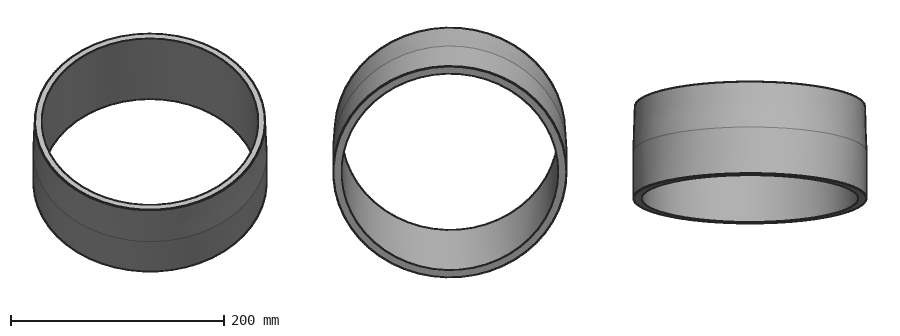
import cadquery as cq

outer_diameter = 219.0
height = 89.0
bore_diameter = 202.7
top_diameter = 216.0
taper_start = 44.9
outer_edge_break = 0.7
bore_edge_break = 0.2

outer_radius = outer_diameter / 2
bore_radius = bore_diameter / 2
top_radius = top_diameter / 2

ring = (
    cq.Workplane("XZ")
    .moveTo(bore_radius, 0)
    .lineTo(outer_radius, 0)
    .lineTo(outer_radius, taper_start)
    .lineTo(top_radius, height)
    .lineTo(bore_radius, height)
    .close()
    .revolve(360, (0, 0, 0), (0, 1, 0))
)

result = ring
for end in ("<Z", ">Z"):
    outer_rim = cq.selectors.RadiusNthSelector(-1)
    bore_rim = cq.selectors.RadiusNthSelector(0)
    result = result.faces(end).edges(outer_rim).chamfer(outer_edge_break)
    result = result.faces(end).edges(bore_rim).chamfer(bore_edge_break)